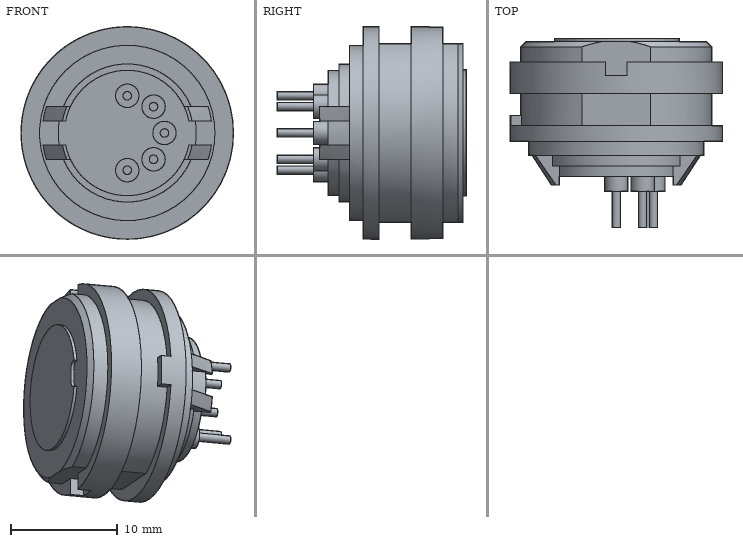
import cadquery as cq
import math


outer_diameter = 20.0
flange_thickness = 1.5
body_diameter = 18.0
body_end_y = 9.4
body_chamfer = 0.5
flat_height = 8.4
nut_start_y = 4.5
nut_thickness = 3.0
nut_slot_width = 2.0
nut_slot_depth = 1.3

key_width = 2.75
key_height = 0.95

rim_diameter = 11.9
rim_height = 0.3
notch_width = 2.52
notch_floor_x = -5.0
notch_corner_radius = 0.7

shoulder_diameter = 16.5
shoulder_height = 1.3
collar_diameter = 13.0
collar_height = 1.0
insert_diameter = 11.8
insert_height = 1.0

tab_base_radius = 8.0
tab_tip_radius = 6.2
tab_overhang = 0.8
tab_width = 1.35
tab_center_z = 1.8

contact_circle_radius = 3.5
contact_count = 5
contact_spacing = 45.0
boss_diameter = 2.2
boss_height = 1.4
pin_diameter = 0.8
pin_length = 3.4

shoulder_face_y = -shoulder_height
collar_face_y = shoulder_face_y - collar_height
insert_face_y = collar_face_y - insert_height
tab_tip_y = insert_face_y - tab_overhang
boss_face_y = insert_face_y - boss_height
pin_tip_y = boss_face_y - pin_length
rim_end_y = body_end_y + rim_height
nut_end_y = nut_start_y + nut_thickness


def cylinder(diameter, start_y, end_y, x=0.0, z=0.0):
    """Cylinder along Y between two Y positions."""
    base = cq.Workplane("XZ", origin=(x, start_y, z))
    return base.circle(diameter / 2).extrude(start_y - end_y)


def block(x_range, y_range, z_range):
    """Box given by its lower and upper limit along each axis."""
    sizes = [high - low for low, high in (x_range, y_range, z_range)]
    corner = (x_range[0], y_range[0], z_range[0])
    return cq.Workplane("XY").box(*sizes, centered=False).translate(corner)


def make_body():
    """Chamfered body with a flat on top and one below."""
    body = cylinder(body_diameter, 0, body_end_y).faces(">Y").chamfer(body_chamfer)
    half = outer_diameter / 2
    between_flats = block((-half, half), (0, body_end_y), (-flat_height, flat_height))
    return body.intersect(between_flats)


def make_nut():
    """Ring nut with a wrench slot above and below; the slots stop at the body flats."""
    nut = cylinder(outer_diameter, nut_start_y, nut_end_y)
    slot_floor_y = nut_end_y - nut_slot_depth
    half = nut_slot_width / 2
    slot = block((-half, half), (slot_floor_y, nut_end_y), (flat_height, outer_diameter / 2))
    return nut.cut(slot).cut(slot.mirror("XY"))


def make_flange():
    """Flange with the locating key on its -X side."""
    key_end_y = flange_thickness + key_height
    key_limits = block((-outer_diameter / 2, 0), (0, key_end_y), (-key_width / 2, key_width / 2))
    key = cylinder(outer_diameter, 0, key_end_y).intersect(key_limits)
    return cylinder(outer_diameter, 0, flange_thickness).union(key)


def make_rim():
    """Low disc with a round-cornered notch on its -X side."""
    rim = cylinder(rim_diameter, body_end_y, rim_end_y)
    half = notch_width / 2
    notch = block((-rim_diameter / 2, notch_floor_x), (body_end_y, rim_end_y), (-half, half))
    return rim.cut(notch.edges("|Y and >X").fillet(notch_corner_radius))


def make_insert():
    """Stepped insert; between the tabs the collar rises to the insert face."""
    insert = cylinder(shoulder_diameter, shoulder_face_y, 0)
    insert = insert.union(cylinder(collar_diameter, collar_face_y, shoulder_face_y))
    insert = insert.union(cylinder(insert_diameter, insert_face_y, collar_face_y))
    half = collar_diameter / 2
    bridge_limits = block((-half, half), (insert_face_y, collar_face_y), (-tab_center_z, tab_center_z))
    bridge = cylinder(collar_diameter, insert_face_y, collar_face_y).intersect(bridge_limits)
    return insert.union(bridge)


def make_tabs():
    """Four tabs cut from a cone-backed ring."""
    tab_inner_radius = insert_diameter / 2
    profile = [
        (tab_inner_radius, shoulder_face_y),
        (tab_base_radius, shoulder_face_y),
        (tab_tip_radius, tab_tip_y),
        (tab_inner_radius, tab_tip_y),
    ]
    ring = cq.Workplane("XY").polyline(profile).close().revolve(360, (0, 0, 0), (0, 1, 0))
    x_range = (-tab_base_radius, tab_base_radius)
    y_range = (tab_tip_y, shoulder_face_y)
    half = tab_width / 2
    upper = block(x_range, y_range, (tab_center_z - half, tab_center_z + half))
    return ring.intersect(upper.union(upper.mirror("XY")))


def make_contacts():
    """Round bosses with pins, spread evenly over the +X half of a circle."""
    contacts = cq.Workplane("XY")
    first_angle = -contact_spacing * (contact_count - 1) / 2
    for index in range(contact_count):
        angle = math.radians(first_angle + index * contact_spacing)
        x = contact_circle_radius * math.cos(angle)
        z = contact_circle_radius * math.sin(angle)
        contacts = contacts.add(cylinder(boss_diameter, boss_face_y, insert_face_y, x, z))
        contacts = contacts.add(cylinder(pin_diameter, pin_tip_y, boss_face_y, x, z))
    return contacts.combine()


result = (
    make_body()
    .union(make_nut())
    .union(make_flange())
    .union(make_rim())
    .union(make_insert())
    .union(make_tabs())
    .union(make_contacts())
)